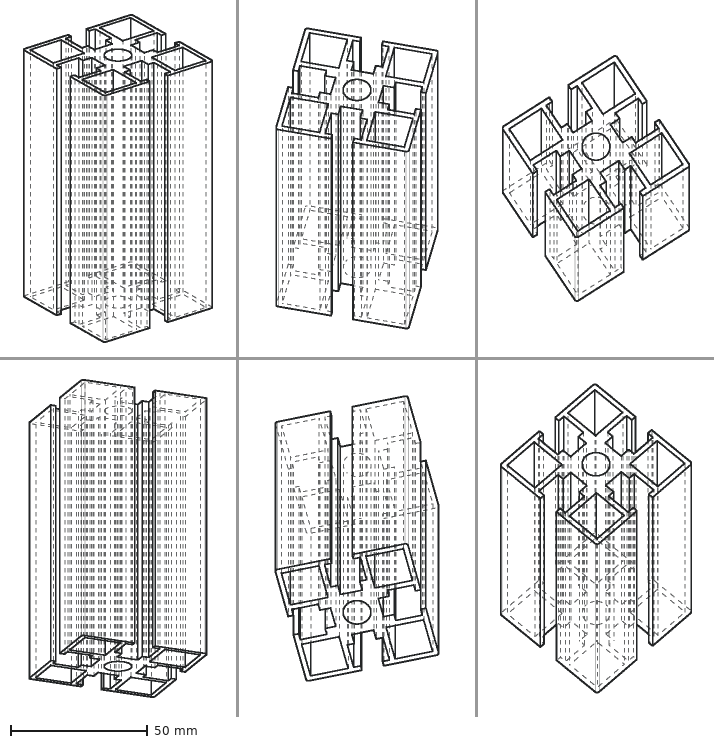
import cadquery as cq

side = 50.0
length = 100.0
wall = 2.0
web = 2.1
corner_radius = 1.0
bore_diameter = 10.2

slot_opening = 8.2
slot_width = 13.5
ledge_distance = 13.0
floor_distance = 9.0

half_side = side / 2
lip_distance = half_side - wall
cell_start = slot_width / 2 + web
cell_side = lip_distance - cell_start
cell_centre = (lip_distance + cell_start) / 2

quarter_turns = (0, 90, 180, 270)


def bar():
    """Solid square bar with rounded long edges."""
    block = cq.Workplane("XY").rect(side, side).extrude(length)
    return block.edges("|Z").fillet(corner_radius)


def pocket(width, inner, outer):
    """Full-length cutter on the +X side, between two distances from the axis."""
    depth = outer - inner
    return cq.Workplane("XY").center(inner + depth / 2, 0).rect(depth, width).extrude(length)


def t_slot():
    """Slot in the +X side: a narrow groove to the floor, widened behind the lips."""
    narrow = pocket(slot_opening, floor_distance, half_side)
    wide = pocket(slot_width, ledge_distance, lip_distance)
    return narrow.union(wide)


def corner_cell():
    """Square hollow in the +X +Y corner."""
    return cq.Workplane("XY").center(cell_centre, cell_centre).rect(cell_side, cell_side).extrude(length)


def centre_bore():
    """Round hole through the whole length."""
    return cq.Workplane("XY").circle(bore_diameter / 2).extrude(length)


result = bar().cut(centre_bore())

for angle in quarter_turns:
    for cutter in (t_slot(), corner_cell()):
        result = result.cut(cutter.rotate((0, 0, 0), (0, 0, 1), angle))